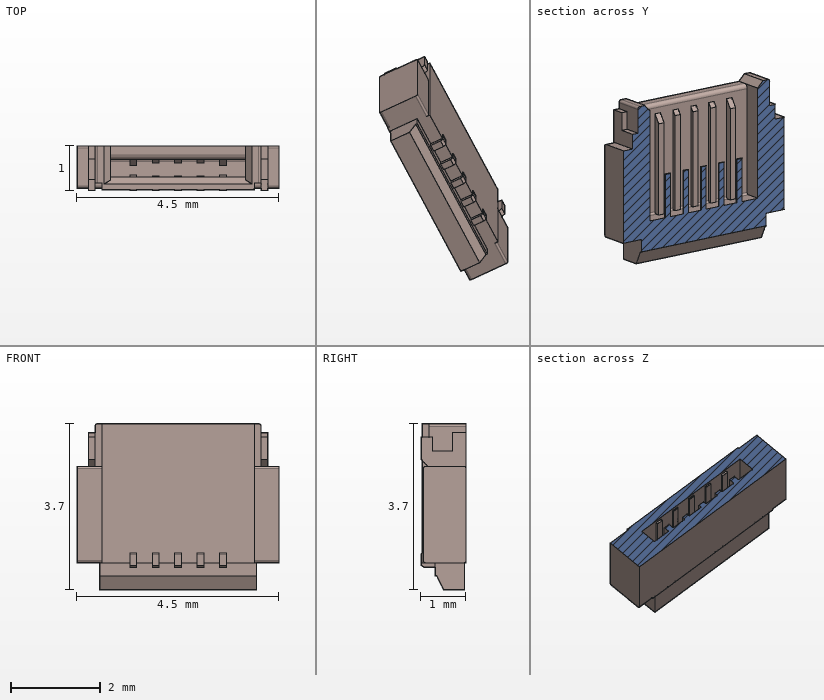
import cadquery as cq


TOTAL_HEIGHT = 3.7
HOUSING_BOTTOM = 0.6
HOUSING_HALF_WIDTH = 1.85
HOUSING_DEPTH = 0.83
HOUSING_EDGE_RADIUS = 0.06
FRONT_PLATE_HALF_WIDTH = 1.7
FRONT_PLATE_DEPTH = 0.98

CAVITY_HALF_WIDTH = 1.5
CAVITY_BACK_DEPTH = 0.305
CAVITY_FRONT_DEPTH = 0.7
CAVITY_FLOOR = 1.0
CAVITY_FLOOR_RADIUS = 0.045
LEAD_IN = 0.15
FRONT_LEAD_IN = 0.155
FRONT_LEAD_IN_HEIGHT = 0.25
FRONT_LEAD_IN_BOTTOM = TOTAL_HEIGHT - FRONT_LEAD_IN_HEIGHT
BACK_WALL_TOP = TOTAL_HEIGHT - LEAD_IN
BACK_WALL_EDGE_RADIUS = 0.1

WING_HALF_WIDTH = 2.25
WING_DEPTH = 0.95
WING_TOP = 2.75
WING_EDGE_RADIUS = 0.05
TAB_HALF_WIDTH = 2.0
TAB_DEPTH = 1.0
TAB_BACK_TOP = 3.5
TAB_FRONT_TOP = 3.4
TAB_NOTCH_START = 0.3
TAB_NOTCH_END = 0.75
TAB_NOTCH_FLOOR = 3.09
TAB_CHAMFER_TOP = 2.9
TAB_CHAMFER = TAB_CHAMFER_TOP - WING_TOP

BASE_HALF_WIDTH = 1.75
BASE_BACK_DEPTH = 0.03
BASE_FRONT_DEPTH = 0.69
BASE_STEP = 0.035
BASE_BOTTOM_DEPTH = 0.5
BASE_SLOPE_HEIGHT = 0.31

CONTACT_COUNT = 5
CONTACT_PITCH = 0.5
CONTACT_WIDTH = 0.15
CONTACT_TOP = 3.315
CONTACT_TIP_SLOPE = 1.5
BACK_CONTACT_HEIGHT = 0.075
OUTER_BACK_CONTACT_HEIGHT = 0.135
FRONT_CONTACT_TOP = 2.0
FRONT_CONTACT_HEIGHT = 0.03
OUTER_FRONT_CONTACT_HEIGHT = 0.045
TAIL_DEPTH = 1.0
TAIL_TOP = 0.825
TAIL_BOTTOM = 0.5
TAIL_TOP_RADIUS = 0.04
TAIL_CHAMFER_HEIGHT = 0.045
TAIL_CHAMFER_DEPTH = 0.065


def block(x_min, x_max, depth_min, depth_max, z_min, z_max):
    """Box between two X values, two depths and two heights."""
    size = (x_max - x_min, depth_max - depth_min, z_max - z_min)
    return cq.Workplane("XY").box(*size, centered=False).translate((x_min, -depth_max, z_min))


def side_profile(points, x_min, x_max):
    """Closed outline of (depth, height) points extruded from x_min to x_max."""
    outline = [(-depth, height) for depth, height in points]
    return cq.Workplane("YZ", origin=(x_min, 0, 0)).polyline(outline).close().extrude(x_max - x_min)


def make_housing():
    shell = block(-HOUSING_HALF_WIDTH, HOUSING_HALF_WIDTH, 0, HOUSING_DEPTH, HOUSING_BOTTOM, TOTAL_HEIGHT)
    shell = shell.edges("|Y and >Z").fillet(HOUSING_EDGE_RADIUS)
    front_plate = block(
        -FRONT_PLATE_HALF_WIDTH, FRONT_PLATE_HALF_WIDTH, 0, FRONT_PLATE_DEPTH, HOUSING_BOTTOM, TOTAL_HEIGHT
    )
    return shell.union(front_plate)


def make_cavity():
    """Space removed for the mating cavity, above the lowered back wall and in the lead-in."""
    pocket = block(
        -CAVITY_HALF_WIDTH,
        CAVITY_HALF_WIDTH,
        CAVITY_BACK_DEPTH,
        CAVITY_FRONT_DEPTH,
        CAVITY_FLOOR,
        BACK_WALL_TOP,
    )
    pocket = pocket.edges("|X and <Z and >Y").fillet(CAVITY_FLOOR_RADIUS)

    round_depth = CAVITY_BACK_DEPTH - BACK_WALL_EDGE_RADIUS
    round_bottom = BACK_WALL_TOP - BACK_WALL_EDGE_RADIUS
    edge_strip = block(
        -CAVITY_HALF_WIDTH, CAVITY_HALF_WIDTH, round_depth, CAVITY_BACK_DEPTH, round_bottom, BACK_WALL_TOP
    )
    edge_rod = (
        cq.Workplane("YZ", origin=(-CAVITY_HALF_WIDTH, 0, 0))
        .center(-round_depth, round_bottom)
        .circle(BACK_WALL_EDGE_RADIUS)
        .extrude(2 * CAVITY_HALF_WIDTH)
    )

    return pocket.union(edge_strip.cut(edge_rod)).union(make_lead_in())


def make_lead_in():
    """Flare of the cavity mouth along the sides and front, running out through the back face."""
    mouth_half_width = CAVITY_HALF_WIDTH + LEAD_IN
    across = [
        (-CAVITY_HALF_WIDTH, FRONT_LEAD_IN_BOTTOM),
        (-CAVITY_HALF_WIDTH, BACK_WALL_TOP),
        (-mouth_half_width, TOTAL_HEIGHT),
        (mouth_half_width, TOTAL_HEIGHT),
        (CAVITY_HALF_WIDTH, BACK_WALL_TOP),
        (CAVITY_HALF_WIDTH, FRONT_LEAD_IN_BOTTOM),
    ]
    side_flare = cq.Workplane("XZ").polyline(across).close().extrude(FRONT_PLATE_DEPTH)
    along_depth = [
        (0, BACK_WALL_TOP),
        (0, TOTAL_HEIGHT),
        (CAVITY_FRONT_DEPTH + FRONT_LEAD_IN, TOTAL_HEIGHT),
        (CAVITY_FRONT_DEPTH, FRONT_LEAD_IN_BOTTOM),
        (CAVITY_BACK_DEPTH, FRONT_LEAD_IN_BOTTOM),
        (CAVITY_BACK_DEPTH, BACK_WALL_TOP),
    ]
    return side_flare.intersect(side_profile(along_depth, -mouth_half_width, mouth_half_width))


def make_wings():
    """Both wings as one rounded bar through the housing."""
    wings = block(-WING_HALF_WIDTH, WING_HALF_WIDTH, 0, WING_DEPTH, HOUSING_BOTTOM, WING_TOP)
    return wings.edges("|X").fillet(WING_EDGE_RADIUS)


def make_tab():
    """Notched metal tab on the -X side."""
    points = [
        (0, WING_TOP - TAB_CHAMFER),
        (0, TAB_BACK_TOP),
        (TAB_NOTCH_START, TAB_BACK_TOP),
        (TAB_NOTCH_START, TAB_NOTCH_FLOOR),
        (TAB_NOTCH_END, TAB_NOTCH_FLOOR),
        (TAB_NOTCH_END, TAB_FRONT_TOP),
        (TAB_DEPTH, TAB_FRONT_TOP),
        (TAB_DEPTH, TAB_CHAMFER_TOP),
        (TAB_DEPTH - TAB_CHAMFER, WING_TOP),
        (TAB_DEPTH - TAB_CHAMFER, WING_TOP - TAB_CHAMFER),
    ]
    return side_profile(points, -TAB_HALF_WIDTH, -HOUSING_HALF_WIDTH)


def make_base():
    points = [
        (BASE_BACK_DEPTH, 0),
        (BASE_BACK_DEPTH, CAVITY_FLOOR),
        (BASE_FRONT_DEPTH, CAVITY_FLOOR),
        (BASE_FRONT_DEPTH, BASE_SLOPE_HEIGHT),
        (BASE_FRONT_DEPTH - BASE_STEP, BASE_SLOPE_HEIGHT),
        (BASE_BOTTOM_DEPTH, 0),
    ]
    return side_profile(points, -BASE_HALF_WIDTH, BASE_HALF_WIDTH)


def make_contact(x, back_height, front_height):
    """Blade on the back wall with a sloping tip, pad on the front wall and solder tail outside."""
    x_min = x - CONTACT_WIDTH / 2
    x_max = x + CONTACT_WIDTH / 2
    blade_depth = CAVITY_BACK_DEPTH + back_height
    blade = side_profile(
        [
            (BASE_BACK_DEPTH, HOUSING_BOTTOM),
            (BASE_BACK_DEPTH, CONTACT_TOP),
            (CAVITY_BACK_DEPTH, CONTACT_TOP),
            (blade_depth, CONTACT_TOP - CONTACT_TIP_SLOPE * back_height),
            (blade_depth, HOUSING_BOTTOM),
        ],
        x_min,
        x_max,
    )
    pad = block(
        x_min, x_max, CAVITY_FRONT_DEPTH - front_height, FRONT_PLATE_DEPTH, HOUSING_BOTTOM, FRONT_CONTACT_TOP
    )
    tail = side_profile(
        [
            (BASE_BOTTOM_DEPTH, TAIL_BOTTOM),
            (BASE_BOTTOM_DEPTH, TAIL_TOP),
            (TAIL_DEPTH, TAIL_TOP),
            (TAIL_DEPTH, TAIL_BOTTOM + TAIL_CHAMFER_HEIGHT),
            (TAIL_DEPTH - TAIL_CHAMFER_DEPTH, TAIL_BOTTOM),
        ],
        x_min,
        x_max,
    )
    tail = tail.edges("|X and >Z and <Y").fillet(TAIL_TOP_RADIUS)
    return blade.union(pad).union(tail)


tab = make_tab()
result = make_housing().union(make_wings()).union(make_base()).union(tab).union(tab.mirror("YZ"))
result = result.cut(make_cavity())

last_contact = CONTACT_COUNT - 1
for index in range(CONTACT_COUNT):
    contact_x = (index - last_contact / 2) * CONTACT_PITCH
    if index in (0, last_contact):
        contact = make_contact(contact_x, OUTER_BACK_CONTACT_HEIGHT, OUTER_FRONT_CONTACT_HEIGHT)
    else:
        contact = make_contact(contact_x, BACK_CONTACT_HEIGHT, FRONT_CONTACT_HEIGHT)
    result = result.union(contact)